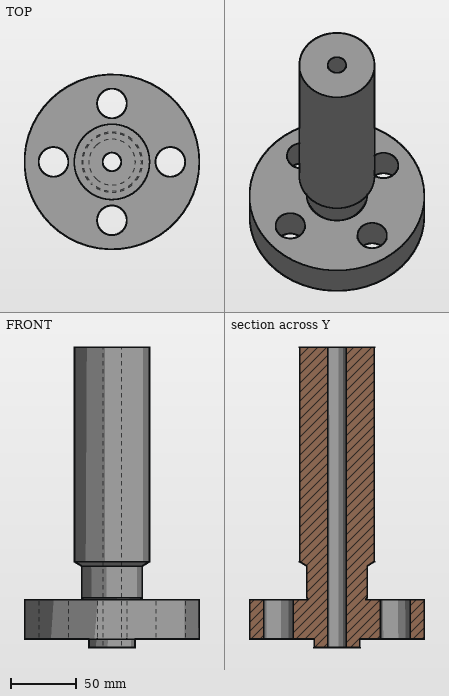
import cadquery as cq

overall_height = 228.5
raised_face_height = 6.5
flange_thickness = 30.2
body_bottom = 65.4
cone_height = 3.5

flange_diameter = 133.3
raised_face_diameter = 35.2
neck_diameter = 46.2
body_diameter = 57.4
bore_diameter = 14.0

foot_height = 1.4
foot_inset = 1.0

bolt_hole_count = 4
bolt_hole_diameter = 22.5
bolt_circle_diameter = 89.0

flange_top = raised_face_height + flange_thickness
neck_top = body_bottom - cone_height


def turned_blank():
    """Revolve the half profile of all coaxial steps around the Z axis."""
    raised_face_radius = raised_face_diameter / 2
    flange_radius = flange_diameter / 2
    neck_radius = neck_diameter / 2
    body_radius = body_diameter / 2
    profile = [
        (0, 0),
        (raised_face_radius, 0),
        (raised_face_radius, raised_face_height),
        (flange_radius, raised_face_height),
        (flange_radius, flange_top),
        (neck_radius - foot_inset, flange_top),
        (neck_radius, flange_top + foot_height),
        (neck_radius, neck_top),
        (body_radius, body_bottom),
        (body_radius, overall_height),
        (0, overall_height),
    ]
    return cq.Workplane("XZ").polyline(profile).close().revolve(360, (0, 0), (0, 1))


def bore():
    """Straight hole along the axis, through the full height."""
    return cq.Workplane("XY").circle(bore_diameter / 2).extrude(overall_height)


def bolt_holes():
    """Evenly spaced through holes, the first one on the +X axis."""
    return (
        cq.Workplane("XY")
        .workplane(offset=raised_face_height)
        .polarArray(bolt_circle_diameter / 2, 0, 360, bolt_hole_count)
        .circle(bolt_hole_diameter / 2)
        .extrude(flange_thickness)
    )


result = turned_blank().cut(bore()).cut(bolt_holes())